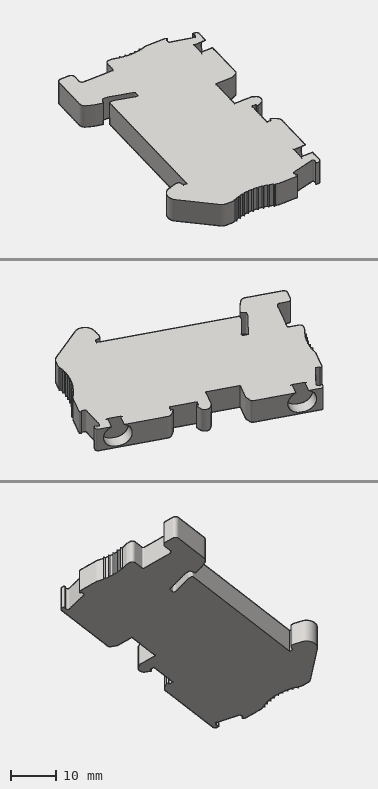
import cadquery as cq
import math

LENGTH = 55.95
HEIGHT = 35.25
THICKNESS = 6.15

RAIL_SEAT_Y = 5.9
SHOULDER_Y = 12.55
END_LEDGE_Y = 27.95
MARKER_FLOOR_Y = 32.1
CENTRE_FLOOR_Y = 29.3

MARKER_X = 33.15
MARKER_HALF_WIDTH = 3.2
BARB_HALF_GAP = 2.65
BARB_Y = 33.4

GRIP_RADIUS = 13.05
LEFT_GRIP_Y = 18.6
LEFT_GRIP_DEPTH = 0.7
LEFT_GRIP_RIBS = 5
RIGHT_GRIP_Y = 17.3
RIGHT_GRIP_DEPTH = 1.35
RIGHT_GRIP_RIBS = 9
RIB_PITCH = 1.3
RIB_HEIGHT = 0.365
RIB_WIDTH = 0.65
RIB_ROOT = 0.15
GRIP_BLEND = 1.45

LEFT_BORE_X = 6.7
RIGHT_BORE_X = 49.1
BORE_RADIUS = 2.95
BORE_FLAT = 0.65
BORE_AXIS_Z = 3.4
BORE_DEPTH = 3.0


def mirrored(corners, axis_x):
    """Mirror corners about the line X = axis_x, reversing their order."""
    return [(2 * axis_x - x, y, r) for x, y, r in reversed(corners)]


def rounded_outline(corners):
    """Closed wire through (x, y, radius) corners; radius 0 leaves a corner sharp."""
    wire = cq.Workplane("XY")
    for i, (x, y, radius) in enumerate(corners):
        corner = cq.Vector(x, y)
        before = cq.Vector(*corners[i - 1][:2])
        after = cq.Vector(*corners[(i + 1) % len(corners)][:2])
        to_before = (before - corner).normalized()
        to_after = (after - corner).normalized()
        half_angle = to_before.getAngle(to_after) / 2
        setback = radius / math.tan(half_angle)
        arc_start = corner + to_before * setback
        arc_end = corner + to_after * setback
        bisector = (to_before + to_after).normalized()
        arc_middle = corner + bisector * (radius / math.sin(half_angle) - radius)

        if i == 0:
            wire = wire.moveTo(arc_start.x, arc_start.y)
        else:
            wire = wire.lineTo(arc_start.x, arc_start.y)
        if radius > 0:
            wire = wire.threePointArc((arc_middle.x, arc_middle.y), (arc_end.x, arc_end.y))
    return wire.close()


def body():
    left_end = [
        (0, 28.3, 0.45),
        (0.55, 28.3, 0.05),
        (0.55, END_LEDGE_Y, 0),
        (1.55, END_LEDGE_Y, 0.2),
        (3.15, 34.0, 0.35),
        (2.3, 34.2, 0),
        (2.1, 33.95, 0.05),
        (1.75, 33.95, 0.1),
        (1.75, HEIGHT, 0.65),
    ]
    marker_side = [
        (MARKER_X + MARKER_HALF_WIDTH, MARKER_FLOOR_Y, 0),
        (MARKER_X + MARKER_HALF_WIDTH, 33.15, 0),
        (MARKER_X + BARB_HALF_GAP + 0.2, 33.1, 0),
        (MARKER_X + BARB_HALF_GAP, BARB_Y, 0),
    ]
    right_marker_lip = [(36.9, HEIGHT, 1.25)]
    centre_recess = [
        (18.4, HEIGHT, 0.8),
        (19.25, 33.5, 0.2),
        (19.25, CENTRE_FLOOR_Y, 0),
        (27.2, CENTRE_FLOOR_Y, 0),
        (27.2, 33.7, 0.2),
    ]
    marker_post_top = [
        (27.9, HEIGHT, 1.25),
        (29.6, HEIGHT, 1.25),
    ]
    rail_hook = [
        (LENGTH, 8.95, 1.95),
        (48.15, 0, 2.35),
        (45.25, 0, 2.35),
        (44.2, 3.7, 1.1),
        (44.2, 4.6, 0.3),
        (45.4, 5.05, 0),
        (45.4, RAIL_SEAT_Y, 0),
    ]
    flex_slot = [
        (12.5, RAIL_SEAT_Y, 0.35),
        (12.5, 7.05, 0.3),
        (13.85, 11.85, 0.3),
        (13.85, SHOULDER_Y, 0.2),
        (12.5, SHOULDER_Y, 0.2),
        (10.75, 6.5, 0.3),
        (10.75, 5.15, 0.1),
    ]
    spring_foot = [
        (12.0, 4.7, 0.1),
        (11.5, 2.6, 4.5),
        (10.45, 0, 1.45),
        (0, 0, 0.9),
        (0, 4.0, 0.95),
        (3.45, 4.0, 0.8),
        (3.45, SHOULDER_Y, 0.3),
        (0, SHOULDER_Y, 0.85),
    ]
    corners = (
        left_end
        + centre_recess
        + marker_post_top
        + mirrored(marker_side, MARKER_X)
        + marker_side
        + right_marker_lip
        + mirrored(left_end, LENGTH / 2)
        + rail_hook
        + flex_slot
        + spring_foot
    )
    return rounded_outline(corners).extrude(THICKNESS)


def add_grip(part, depth, centre_y, outward, rib_count):
    """Hollow one end with a shallow arc, blend its rims and set pointed ribs on it.

    outward is +1 for the +X end and -1 for the -X end.
    """
    end_x = LENGTH if outward > 0 else 0
    deepest_x = end_x - outward * depth
    centre_x = deepest_x + outward * GRIP_RADIUS
    hollow = cq.Workplane("XY").center(centre_x, centre_y).circle(GRIP_RADIUS).extrude(THICKNESS)
    part = part.cut(hollow)
    half_chord = math.sqrt(GRIP_RADIUS**2 - (GRIP_RADIUS - depth) ** 2)
    for rim_y in (centre_y - half_chord, centre_y + half_chord):
        rim = cq.selectors.NearestToPointSelector((end_x, rim_y, THICKNESS / 2))
        part = part.edges("|Z").edges(rim).fillet(GRIP_BLEND)

    root_x = deepest_x - outward * RIB_ROOT
    tip_x = deepest_x + outward * RIB_HEIGHT
    rib = (
        cq.Workplane("XY")
        .moveTo(root_x, centre_y - RIB_WIDTH / 2)
        .lineTo(tip_x, centre_y)
        .lineTo(root_x, centre_y + RIB_WIDTH / 2)
        .close()
        .extrude(THICKNESS)
    )
    rib_step = math.degrees(RIB_PITCH / GRIP_RADIUS)
    for i in range(rib_count):
        angle = (i - (rib_count - 1) / 2) * rib_step
        part = part.union(rib.rotate((centre_x, centre_y, 0), (centre_x, centre_y, 1), angle))
    return part


def wire_bore(x):
    return (
        cq.Workplane("XZ", origin=(x, HEIGHT, BORE_AXIS_Z))
        .slot2D(BORE_FLAT + 2 * BORE_RADIUS, 2 * BORE_RADIUS)
        .extrude(BORE_DEPTH)
    )


result = body()
result = add_grip(result, LEFT_GRIP_DEPTH, LEFT_GRIP_Y, -1, LEFT_GRIP_RIBS)
result = add_grip(result, RIGHT_GRIP_DEPTH, RIGHT_GRIP_Y, 1, RIGHT_GRIP_RIBS)
for bore_x in (LEFT_BORE_X, RIGHT_BORE_X):
    result = result.cut(wire_bore(bore_x))